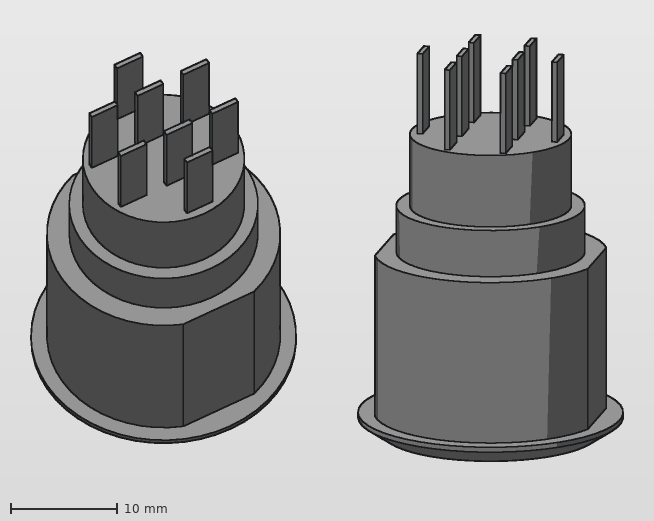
import cadquery as cq

flange_diameter = 25.0
flange_face_diameter = 20.5
taper_height = 1.5
flange_top = 2.0

body_diameter = 22.0
body_across_flats = 20.6
body_top = 17.7
collar_diameter = 17.8
collar_top = 22.2
neck_diameter = 15.25
neck_top = 29.2

overall_height = 37.0
terminal_thickness = 0.5
terminal_width = 2.8
inner_terminal_x = 2.7
outer_terminal_x = 6.5
terminal_row_pitch = 5.0


def cylinder(diameter, bottom, top):
    """Vertical cylinder on the Z axis."""
    return cq.Workplane("XY").workplane(offset=bottom).circle(diameter / 2).extrude(top - bottom)


def make_flange():
    face_radius = flange_face_diameter / 2
    rim_radius = flange_diameter / 2
    profile = [
        (0, 0),
        (face_radius, 0),
        (rim_radius, taper_height),
        (rim_radius, flange_top),
        (0, flange_top),
    ]
    return cq.Workplane("XZ").polyline(profile).close().revolve(360, (0, 0), (0, 1))


def make_body():
    """Round body with a flat on each X side."""
    flats = (
        cq.Workplane("XY")
        .workplane(offset=flange_top)
        .rect(body_across_flats, body_diameter)
        .extrude(body_top - flange_top)
    )
    return cylinder(body_diameter, flange_top, body_top).intersect(flats)


def make_terminals():
    """Two rows of three inner terminals and one outer terminal on each side."""
    positions = []
    for side in (-1, 1):
        positions.append((side * outer_terminal_x, 0))
        for row in (-1, 0, 1):
            positions.append((side * inner_terminal_x, row * terminal_row_pitch))
    return (
        cq.Workplane("XY")
        .workplane(offset=neck_top)
        .pushPoints(positions)
        .rect(terminal_thickness, terminal_width)
        .extrude(overall_height - neck_top)
    )


result = (
    make_flange()
    .union(make_body())
    .union(cylinder(collar_diameter, body_top, collar_top))
    .union(cylinder(neck_diameter, collar_top, neck_top))
    .union(make_terminals())
)